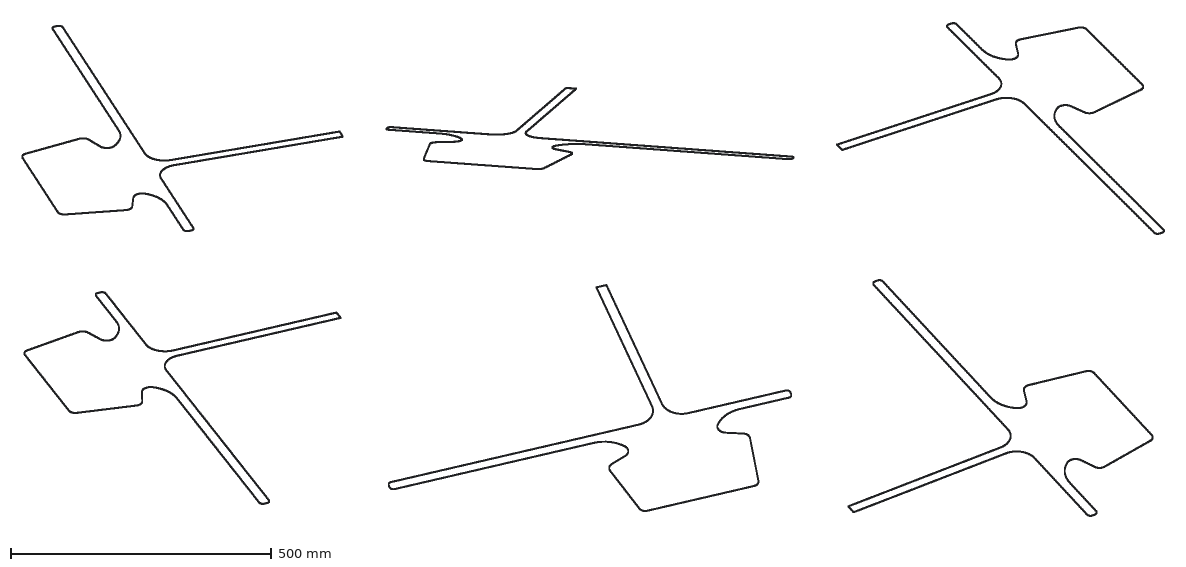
import cadquery as cq
import math

total_span = 813.0
total_height = 610.0
thickness = 1.05

right_reach = 254.0
left_reach = total_span - right_reach
strip_width = 20.0
arm_top = 228.0
arm_bottom = arm_top - strip_width
arm_end_radius = 7.0
mast_root_radius = 40.0

base_half_width = 119.0
shoulder_half_width = 144.0
neck_half_width = 91.0
base_corner_radius = 13.0
shoulder_radius = 15.0
shoulder_slope = math.radians(22)

arm_arc_start = 148.0
arm_arc_radius = 67.0
neck_radius = 17.0

arm_arc_y = arm_bottom - arm_arc_radius
neck_x = neck_half_width + neck_radius
center_gap = arm_arc_radius - neck_radius
center_dx = arm_arc_start - neck_x
neck_y = arm_arc_y + math.sqrt(center_gap**2 - center_dx**2)
join_angle = math.atan2(neck_y - arm_arc_y, neck_x - arm_arc_start)
shoulder_normal = 1.5 * math.pi - shoulder_slope


def on_arc(x, y, radius, angle):
    return (x + radius * math.cos(angle), y + radius * math.sin(angle))


def on_arm_arc(angle):
    return on_arc(arm_arc_start, arm_arc_y, arm_arc_radius, angle)


def on_neck_arc(angle):
    return on_arc(neck_x, neck_y, neck_radius, angle)


neck_end = on_neck_arc(shoulder_normal)
shoulder_drop = (shoulder_half_width - neck_end[0]) * math.tan(shoulder_slope)
shoulder_y = neck_end[1] - shoulder_drop


def half_plate(reach):
    """Right half of the plate, with an arm of the given reach and sharp corners."""
    return (
        cq.Workplane("XY")
        .moveTo(0, 0)
        .lineTo(base_half_width, 0)
        .lineTo(shoulder_half_width, shoulder_y)
        .lineTo(*neck_end)
        .threePointArc(on_neck_arc((shoulder_normal + join_angle) / 2), on_neck_arc(join_angle))
        .threePointArc(on_arm_arc((join_angle + math.pi / 2) / 2), (arm_arc_start, arm_bottom))
        .lineTo(reach, arm_bottom)
        .lineTo(reach, arm_top)
        .lineTo(strip_width / 2, arm_top)
        .lineTo(strip_width / 2, total_height)
        .lineTo(0, total_height)
        .close()
        .extrude(thickness)
    )


def round_corners(plate, radius, corners):
    """Round the upright edges standing at the given (x, y) corners."""
    for x, y in corners:
        edge = cq.selectors.NearestToPointSelector((x, y, thickness / 2))
        plate = plate.edges("|Z").edges(edge).fillet(radius)
    return plate


def both_sides(x, y):
    return [(-x, y), (x, y)]


plate = half_plate(right_reach).union(half_plate(left_reach).mirror("YZ")).clean()
plate = round_corners(plate, base_corner_radius, both_sides(base_half_width, 0))
plate = round_corners(plate, shoulder_radius, both_sides(shoulder_half_width, shoulder_y))
plate = round_corners(plate, mast_root_radius, both_sides(strip_width / 2, arm_top))
arm_corners = [(x, y) for x in (-left_reach, right_reach) for y in (arm_bottom, arm_top)]
result = round_corners(plate, arm_end_radius, arm_corners)